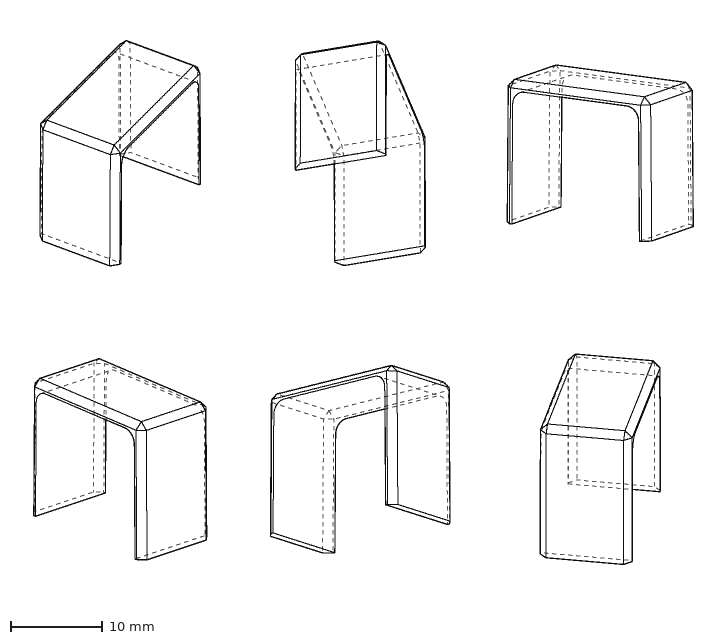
import cadquery as cq
import math

width_x = 10.25
foot_span_y = 18.68
height = 16.1
wall = 1.1
leg_draft = 0.5
edge_chamfer = 0.8
inner_radius = 1.5


def tapered_block(foot_span, block_height):
    """Block standing on Z = 0 whose two Y sides lean inward with height."""
    half_foot = foot_span / 2
    half_top = half_foot - block_height * math.tan(math.radians(leg_draft))
    profile = [
        (-half_foot, 0),
        (half_foot, 0),
        (half_top, block_height),
        (-half_top, block_height),
    ]
    return cq.Workplane("YZ").polyline(profile).close().extrude(width_x / 2, both=True)


def outer_block():
    """Outside shape, bevelled on every edge above the feet."""
    block = tapered_block(foot_span_y, height)
    return block.edges("not <Z").chamfer(edge_chamfer)


def inner_opening():
    """Space between the legs, with its upper corners rounded."""
    opening = tapered_block(foot_span_y - 2 * wall, height - wall)
    return opening.edges("|X and >Z").fillet(inner_radius)


result = outer_block().cut(inner_opening())